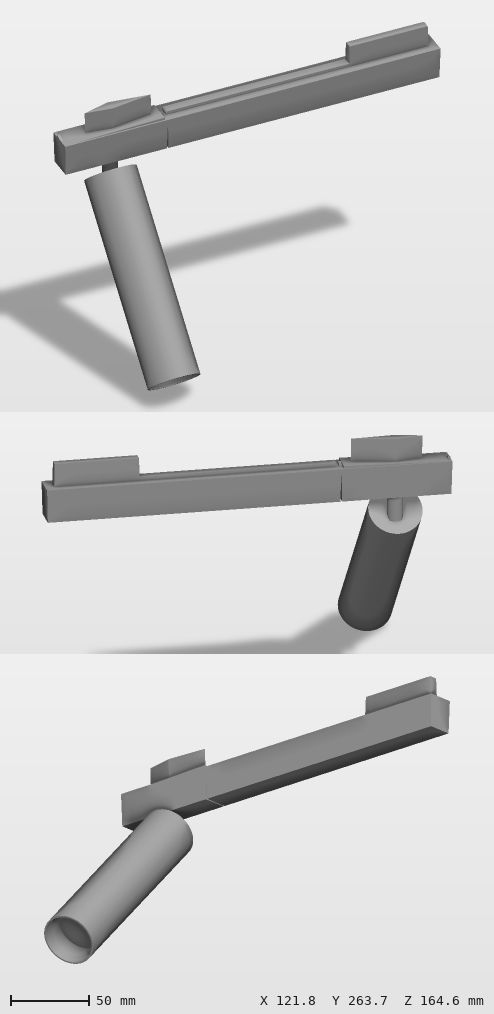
import cadquery as cq
import math

TOTAL_LENGTH = 263.7
TRUNK_WIDTH = 18.0
TRUNK_HEIGHT = 22.2
DRAFT = 1.5
SHORT_LENGTH = 72.3
LONG_LENGTH = TOTAL_LENGTH - SHORT_LENGTH

COVER_RIM = 0.8
COVER_THICKNESS = 1.5

SLIDER_LEFT = 5.8
SLIDER_WIDTH = 6.3
SLIDER_START = 73.5
SLIDER_END = 258.0
HANDLE_START = 202.3
RAIL_HEIGHT = 2.5
HANDLE_HEIGHT = 15.3
RAIL_CHAMFER = 0.8

ROCKER_TILT = 1.5
ROCKER_SIDE_RIM = 1.0
ROCKER_END_RIM = 1.8
ROCKER_THICKNESS = 2.6
RECESS_HEIGHT = 2 * ROCKER_THICKNESS
ROCKER_RISE = 0.8
KNOB_LEFT = 5.0
KNOB_RIGHT = 12.7
KNOB_TIP_X = 9.5
KNOB_NEAR_Y = 18.0
KNOB_WIDE_Y = 36.0
KNOB_FAR_Y = 64.3
KNOB_HEIGHT = 15.3

TAB_LEFT = 5.8
TAB_WIDTH = 5.0
TAB_HEIGHT = 1.5

POST_DIAMETER = 10.0
POST_LENGTH = 17.5
POST_Y = 35.5
TUBE_DIAMETER = 35.0
TUBE_LENGTH = 140.0
TUBE_ANGLE = 46.5
TUBE_LEFT = -1.3
TUBE_LEFT_Z = -24.0
TUBE_Y = 34.8
BORE_DIAMETER = 33.0
BORE_DEPTH = 18.5

MID_X = TRUNK_WIDTH / 2
ROCKER_MID_Y = SHORT_LENGTH / 2


def block(x, y, z, dx, dy, dz):
    """Box with its lowest corner at (x, y, z)."""
    return cq.Workplane("XY").box(dx, dy, dz, centered=False).translate((x, y, z))


def drafted_block(x, y, z, dx, dy, height):
    """Box on the base rectangle at height z, drawn in by the draft; a negative height goes down."""
    base = cq.Workplane("XY", origin=(x + dx / 2, y + dy / 2, z)).rect(dx, dy)
    return base.extrude(height, taper=DRAFT)


def trunk(start, length):
    """Solid trunk length, widest at the top."""
    return drafted_block(0, start, TRUNK_HEIGHT, TRUNK_WIDTH, length, -TRUNK_HEIGHT)


def cover_plate():
    """Flat plate, flush with the rim of the long trunk."""
    return block(
        COVER_RIM,
        SHORT_LENGTH + COVER_RIM,
        TRUNK_HEIGHT - COVER_THICKNESS,
        TRUNK_WIDTH - 2 * COVER_RIM,
        LONG_LENGTH - 2 * COVER_RIM,
        COVER_THICKNESS,
    )


def slider_body():
    """Low rail and tall handle with shared drafted sides."""
    rail = drafted_block(
        SLIDER_LEFT, SLIDER_START, TRUNK_HEIGHT, SLIDER_WIDTH, SLIDER_END - SLIDER_START, RAIL_HEIGHT
    )
    rail = rail.faces(">Z").edges("<Y").chamfer(RAIL_CHAMFER)
    handle = drafted_block(
        SLIDER_LEFT, HANDLE_START, TRUNK_HEIGHT, SLIDER_WIDTH, SLIDER_END - HANDLE_START, HANDLE_HEIGHT
    )
    return rail.union(handle)


def tilt(body):
    """Turn a level rocker part to its tilted position, about the middle of the rocker top."""
    pivot_z = TRUNK_HEIGHT + ROCKER_RISE
    return body.rotate((0, ROCKER_MID_Y, pivot_z), (1, ROCKER_MID_Y, pivot_z), ROCKER_TILT)


def rocker_slab(height):
    """Tilted slab standing on the underside of the rocker plate."""
    return tilt(
        block(
            ROCKER_SIDE_RIM,
            ROCKER_END_RIM,
            TRUNK_HEIGHT + ROCKER_RISE - ROCKER_THICKNESS,
            TRUNK_WIDTH - 2 * ROCKER_SIDE_RIM,
            SHORT_LENGTH - 2 * ROCKER_END_RIM,
            height,
        )
    )


def rocker_body():
    """Tilted plate with its knob, a four-sided prism."""
    knob = (
        cq.Workplane("XY", origin=(0, 0, TRUNK_HEIGHT + ROCKER_RISE))
        .moveTo(KNOB_TIP_X, KNOB_NEAR_Y)
        .lineTo(KNOB_RIGHT, KNOB_WIDE_Y)
        .lineTo(KNOB_TIP_X, KNOB_FAR_Y)
        .lineTo(KNOB_LEFT, KNOB_WIDE_Y)
        .close()
        .extrude(KNOB_HEIGHT)
    )
    return rocker_slab(ROCKER_THICKNESS).union(tilt(knob))


def rim_tab(start, peak_x):
    """Wedge on an end rim, rising to a vertical side at peak_x."""
    profile = (
        cq.Workplane("XZ", origin=(0, start + ROCKER_END_RIM, 0))
        .moveTo(TAB_LEFT, TRUNK_HEIGHT)
        .lineTo(TAB_LEFT + TAB_WIDTH, TRUNK_HEIGHT)
        .lineTo(peak_x, TRUNK_HEIGHT + TAB_HEIGHT)
        .close()
    )
    return profile.extrude(ROCKER_END_RIM)


def short_trunk_body():
    """Trunk with a tilted recess for the rocker and a tab on each end rim."""
    near_tab = rim_tab(0, TAB_LEFT)
    far_tab = rim_tab(SHORT_LENGTH - ROCKER_END_RIM, TAB_LEFT + TAB_WIDTH)
    recess = rocker_slab(RECESS_HEIGHT)
    return trunk(0, SHORT_LENGTH).union(near_tab).union(far_tab).cut(recess)


def post_body():
    """Round post hanging from the underside of the short trunk."""
    return cq.Workplane("XY", origin=(MID_X, POST_Y, 0)).circle(POST_DIAMETER / 2).extrude(-POST_LENGTH)


def tube_body(post):
    """Lamp tube, bored from its lower end and recessed for the post at its upper end."""
    angle = math.radians(TUBE_ANGLE)
    radius = TUBE_DIAMETER / 2
    upper_centre = cq.Vector(
        TUBE_LEFT + radius * math.sin(angle), TUBE_Y, TUBE_LEFT_Z + radius * math.cos(angle)
    )
    axis = cq.Vector(math.cos(angle), 0, -math.sin(angle))
    lower_centre = upper_centre + axis * TUBE_LENGTH
    tube = cq.Solid.makeCylinder(radius, TUBE_LENGTH, upper_centre, axis)
    bore = cq.Solid.makeCylinder(BORE_DIAMETER / 2, BORE_DEPTH, lower_centre, axis * -1)
    return cq.Workplane(tube).cut(cq.Workplane(bore)).cut(post)


cover = cover_plate()
long_trunk = trunk(SHORT_LENGTH, LONG_LENGTH).cut(cover)
slider = slider_body()
rocker = rocker_body()
short_trunk = short_trunk_body()
post = post_body()
tube = tube_body(post)

bodies = [long_trunk, cover, slider, short_trunk, rocker, post, tube]
result = cq.Compound.makeCompound([body.solids().val() for body in bodies])